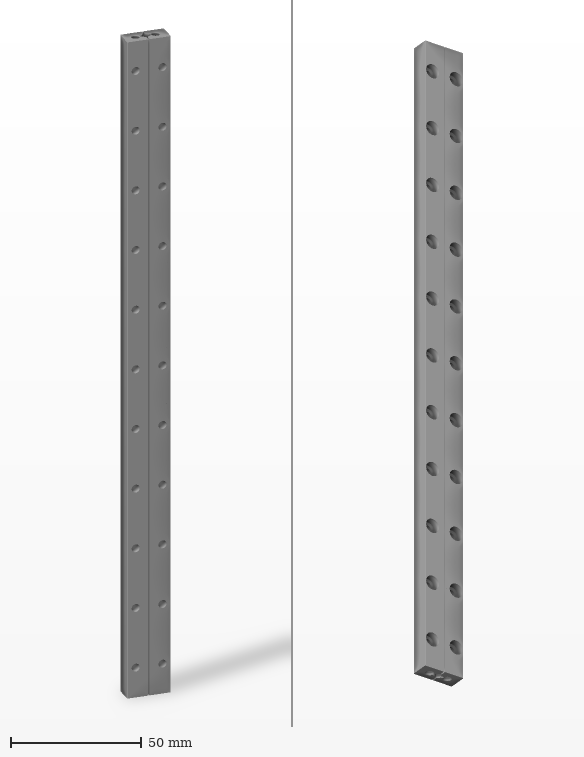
import cadquery as cq
import math

length = 275.0
depth = 8.0
pair_width = 18.0
gap = 0.5
edge_chamfer = 0.2

groove_mouth = 3.5
relief_width = 1.0
relief_bottom = 2.25

mount_count = 11
mount_pitch = length / mount_count
mount_row_spacing = 11.0
mount_diameter = 3.3
counterbore_diameter = 6.0
counterbore_depth = 3.3

end_hole_diameter = 3.0
end_hole_spacing = 8.2
end_hole_depth = 5.5
end_countersink = 0.3
drill_point_angle = 118.0


def make_body():
    """Bar on the +Y side, with the groove along its inner face and chamfered outer edges."""
    inner = gap / 2
    outer = pair_width / 2
    half_depth = depth / 2
    half_mouth = groove_mouth / 2
    half_relief = relief_width / 2
    v_root = inner + half_mouth - half_relief
    outline = [
        (-half_depth, outer),
        (-half_depth, inner),
        (-half_mouth, inner),
        (-half_relief, v_root),
        (-half_relief, relief_bottom),
        (half_relief, relief_bottom),
        (half_relief, v_root),
        (half_mouth, inner),
        (half_depth, inner),
        (half_depth, outer),
    ]
    bar = cq.Workplane("XY").polyline(outline).close().extrude(length)
    return bar.edges("|Z and >Y").chamfer(edge_chamfer)


def make_mounting_holes():
    """Row of counterbored through holes, as solids to cut away."""
    row_y = mount_row_spacing / 2
    centres = [(row_y, (i + 0.5) * mount_pitch) for i in range(mount_count)]
    face = cq.Workplane("YZ", origin=(-depth / 2, 0, 0)).pushPoints(centres)
    bores = face.circle(mount_diameter / 2).extrude(depth)
    counterbores = face.circle(counterbore_diameter / 2).extrude(counterbore_depth)
    return bores.union(counterbores)


def make_end_hole():
    """Countersunk blind hole with a conical bottom, entering the lower end of the rail."""
    radius = end_hole_diameter / 2
    point_length = radius / math.tan(math.radians(drill_point_angle / 2))
    profile = [
        (0, 0),
        (radius + end_countersink, 0),
        (radius, end_countersink),
        (radius, end_hole_depth),
        (0, end_hole_depth + point_length),
    ]
    hole = cq.Workplane("XZ").polyline(profile).close().revolve(360, (0, 0), (0, 1))
    return hole.translate((0, end_hole_spacing / 2, 0))


def make_rail():
    """Complete rail on the +Y side."""
    bottom_hole = make_end_hole()
    top_hole = bottom_hole.mirror("XY", (0, 0, length / 2))
    return make_body().cut(make_mounting_holes()).cut(bottom_hole).cut(top_hole)


rail = make_rail()
rails = [rail, rail.mirror("XZ")]

result = cq.Compound.makeCompound([body.val() for body in rails])